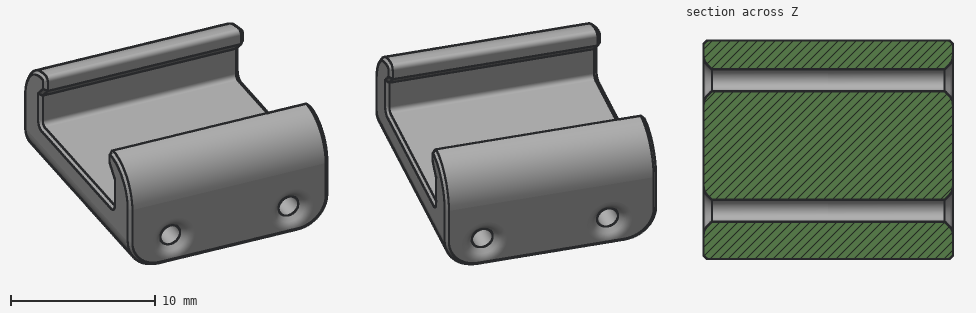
import cadquery as cq
import math

width = 17.3
length = 15.28
height = 8.06

floor_height = 3.77
wall_thickness = 2.61
lip_reach = 3.45
lip_bottom = 7.0
tip_radius = 0.35
floor_corner_radius = 0.35

shoulder_radius = lip_reach - tip_radius
bottom_radius = 2.34
edge_chamfer = 0.25

hole_diameter = 1.5
hole_spacing = 9.05
hole_offset = 0.3
hole_height = 1.85
cone_diameter = 2.25
mouth_diameter = 3.25

half_width = width / 2
wall_x = half_width - wall_thickness
tip_x = half_width - lip_reach
lip_slope_end = lip_bottom - (lip_reach - wall_thickness)
diagonal = math.sqrt(0.5)


def make_half_profile():
    """Right half of the channel section in the XZ plane."""
    shoulder_x = half_width - shoulder_radius
    shoulder_z = height - shoulder_radius
    tip_center_x = tip_x + tip_radius
    tip_center_z = height - tip_radius
    corner_x = wall_x - floor_corner_radius
    corner_z = floor_height + floor_corner_radius
    return (
        cq.Workplane("XZ")
        .moveTo(0, 0)
        .lineTo(half_width, 0)
        .lineTo(half_width, shoulder_z)
        .threePointArc(
            (shoulder_x + shoulder_radius * diagonal, shoulder_z + shoulder_radius * diagonal),
            (shoulder_x, height),
        )
        .threePointArc(
            (tip_center_x - tip_radius * diagonal, tip_center_z + tip_radius * diagonal),
            (tip_x, tip_center_z),
        )
        .lineTo(tip_x, lip_bottom)
        .lineTo(wall_x, lip_slope_end)
        .lineTo(wall_x, corner_z)
        .threePointArc(
            (corner_x + floor_corner_radius * diagonal, corner_z - floor_corner_radius * diagonal),
            (corner_x, floor_height),
        )
        .lineTo(0, floor_height)
        .close()
    )


def make_body():
    """Full channel with rounded lower ends and chamfered outer edges."""
    half = make_half_profile().extrude(length / 2, both=True)
    body = half.union(half.mirror("YZ")).clean()
    body = body.edges("|X and <Z").fillet(bottom_radius)
    end_edges = body.faces("<Y or >Y").edges("not <Z")
    side_edges = body.faces("<X or >X").edges("not >Z")
    return end_edges.add(side_edges).chamfer(edge_chamfer)


def make_hole_cutter():
    """Through hole along X with a rounded countersink at both mouths."""
    hole_r = hole_diameter / 2
    cone_r = cone_diameter / 2
    mouth_r = mouth_diameter / 2
    blend_radius = (mouth_r - cone_r) / diagonal
    cone_x = half_width - blend_radius * (1 - diagonal)
    bore_x = cone_x - (cone_r - hole_r)
    mid_turn = math.radians(22.5)
    blend_mid = (
        half_width - blend_radius * (1 - math.cos(mid_turn)),
        mouth_r - blend_radius * math.sin(mid_turn),
    )
    half = (
        cq.Workplane("XY")
        .moveTo(0, 0)
        .lineTo(half_width, 0)
        .lineTo(half_width, mouth_r)
        .threePointArc(blend_mid, (cone_x, cone_r))
        .lineTo(bore_x, hole_r)
        .lineTo(0, hole_r)
        .close()
        .revolve(360, (0, 0, 0), (1, 0, 0))
    )
    return half.union(half.mirror("YZ"))


result = make_body()
for side in (-1, 1):
    hole_y = hole_offset + side * hole_spacing / 2
    result = result.cut(make_hole_cutter().translate((0, hole_y, hole_height)))